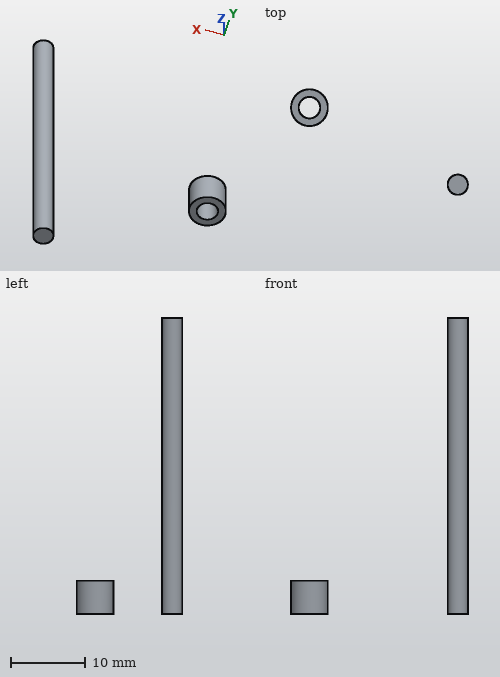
import cadquery as cq

pin_diameter = 2.75
pin_length = 40.0

sleeve_outer_diameter = 5.0
sleeve_bore_diameter = 2.9
sleeve_height = 4.5
sleeve_offset_x = -20.05
sleeve_offset_y = 10.4


def make_pin():
    return cq.Workplane("XY").circle(pin_diameter / 2).extrude(pin_length)


def make_sleeve():
    return (
        cq.Workplane("XY")
        .center(sleeve_offset_x, sleeve_offset_y)
        .circle(sleeve_outer_diameter / 2)
        .circle(sleeve_bore_diameter / 2)
        .extrude(sleeve_height)
    )


pin = make_pin()
sleeve = make_sleeve()

result = cq.Compound.makeCompound([pin.val(), sleeve.val()])